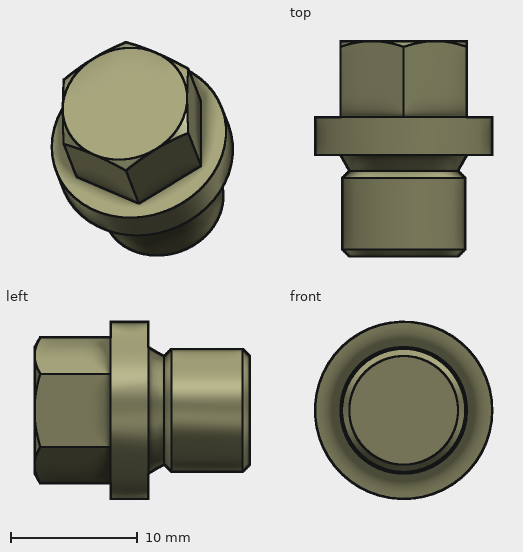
import cadquery as cq
import math

total_length = 17.0
head_length = 6.0
flange_thickness = 3.0
flange_diameter = 14.0
across_flats = 10.0
head_chamfer_angle = 30.0

shank_diameter = 9.72
end_diameter = 8.58
seat_diameter = across_flats
shank_chamfer = (shank_diameter - end_diameter) / 2
relief_length = 1.24

flange_front = total_length - head_length - flange_thickness
flange_back = flange_front + flange_thickness
groove_bottom = flange_front - relief_length

across_corners = across_flats / math.cos(math.radians(30))
head_chamfer_drop = (across_corners - across_flats) / 2 * math.tan(math.radians(head_chamfer_angle))


def revolve_profile(points):
    """Revolve a closed (radius, axial position) outline about Y."""
    return cq.Workplane("XY").polyline(points).close().revolve(360, (0, 0, 0), (0, 1, 0))


def make_shank_and_flange():
    """Chamfered shank, conical relief groove and round flange."""
    return revolve_profile([
        (0, 0),
        (end_diameter / 2, 0),
        (shank_diameter / 2, shank_chamfer),
        (shank_diameter / 2, groove_bottom - shank_chamfer),
        (end_diameter / 2, groove_bottom),
        (seat_diameter / 2, flange_front),
        (flange_diameter / 2, flange_front),
        (flange_diameter / 2, flange_back),
        (0, flange_back),
    ])


def make_head():
    """Hexagon with corners on +Z and -Z, its outer end trimmed by a cone."""
    prism = (
        cq.Workplane("XZ", origin=(0, flange_back, 0))
        .transformed(rotate=(0, 0, 90))
        .polygon(6, across_corners)
        .extrude(-head_length)
    )
    cone_envelope = revolve_profile([
        (0, flange_back),
        (across_corners / 2, flange_back),
        (across_corners / 2, total_length - head_chamfer_drop),
        (across_flats / 2, total_length),
        (0, total_length),
    ])
    return prism.intersect(cone_envelope)


result = make_shank_and_flange().union(make_head())